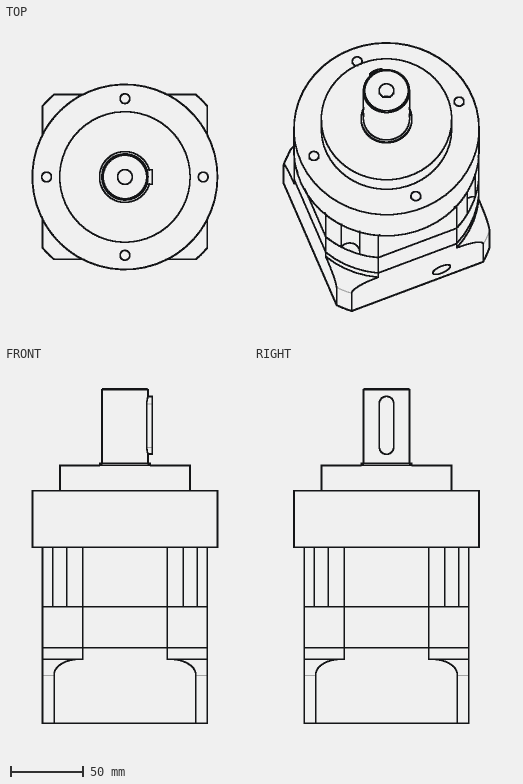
import cadquery as cq
import math

square_width = 113.9
flange_radius = 64.0
body_corner_radius = flange_radius
base_corner_radius = 75.0

shoulder_z = 44.4
adapter_top_z = 52.2
ring_top_z = 80.6
flange_bottom_z = 121.5
flange_top_z = 160.5
pilot_top_z = 178.0
shaft_top_z = 231.0

pilot_radius = 45.0
bolt_circle_radius = 54.0
bolt_hole_diameter = 6.7
bolt_hole_depth = 18.5
bolt_count = 4
drill_point_angle = 118.0

groove_radius = 7.0
corner_count = 4
first_corner_angle = 45.0
groove_circle_radius = 65.0

shaft_radius = 16.0
shaft_chamfer = 1.0
collar_radius = 17.5
collar_height = 1.5
centre_hole_diameter = 10.2
centre_hole_depth = 23.0
key_width = 10.0
key_length = 40.0
key_bottom_z = 185.7
key_outer_x = 19.0

hub_radius = 24.0
hub_bottom_z = 4.6
bore_radius = 34.6
access_hole_radius = 6.5
access_hole_y = -18.0
access_hole_z = 14.5


def cylinder(radius, bottom_z, top_z):
    """Upright cylinder on the main axis."""
    return cq.Workplane("XY").workplane(offset=bottom_z).circle(radius).extrude(top_z - bottom_z)


def square_block(bottom_z, top_z):
    """Square prism on the main axis."""
    return (
        cq.Workplane("XY").workplane(offset=bottom_z)
        .rect(square_width, square_width).extrude(top_z - bottom_z)
    )


def drilled_holes(diameter, depth, top_z, places):
    """Blind holes with conical drill points, going down from top_z."""
    radius = diameter / 2
    point_depth = radius / math.tan(math.radians(drill_point_angle / 2))
    hole = (
        cq.Workplane("XZ")
        .moveTo(0, 0)
        .lineTo(radius, 0)
        .lineTo(radius, -depth)
        .lineTo(0, -depth - point_depth)
        .close()
        .revolve(360, (0, 0, 0), (0, 1, 0))
    )
    holes = cq.Workplane("XY")
    for x, y in places:
        holes = holes.add(hole.translate((x, y, top_z)))
    return holes.combine()


def circle_points(radius, count, first_angle):
    """Evenly spaced points around the main axis."""
    angles = [math.radians(first_angle + index * 360 / count) for index in range(count)]
    return [(radius * math.cos(angle), radius * math.sin(angle)) for angle in angles]


def make_adapter():
    """Square motor adapter whose wide corners round over into the narrower body corners."""
    round_over = base_corner_radius - body_corner_radius
    arc_bottom_z = shoulder_z - round_over
    arc_middle = round_over * math.sqrt(0.5)
    turned = (
        cq.Workplane("XZ")
        .moveTo(0, 0)
        .lineTo(base_corner_radius, 0)
        .lineTo(base_corner_radius, arc_bottom_z)
        .threePointArc(
            (body_corner_radius + arc_middle, arc_bottom_z + arc_middle),
            (body_corner_radius, shoulder_z),
        )
        .lineTo(body_corner_radius, adapter_top_z)
        .lineTo(0, adapter_top_z)
        .close()
        .revolve(360, (0, 0, 0), (0, 1, 0))
    )
    bore = cylinder(bore_radius, 0, adapter_top_z)
    access_hole = (
        cq.Workplane("YZ").center(access_hole_y, access_hole_z)
        .circle(access_hole_radius).extrude(-square_width / 2)
    )
    return square_block(0, adapter_top_z).intersect(turned).cut(bore).cut(access_hole)


def make_ring():
    """Middle ring with the input hub that hangs down inside the adapter bore."""
    ring = square_block(adapter_top_z, ring_top_z)
    ring = ring.intersect(cylinder(body_corner_radius, adapter_top_z, ring_top_z))
    return ring.union(cylinder(hub_radius, hub_bottom_z, adapter_top_z))


def make_gear_case():
    """Square case with a bolt groove along each rounded corner."""
    case = square_block(ring_top_z, flange_bottom_z)
    case = case.intersect(cylinder(body_corner_radius, ring_top_z, flange_bottom_z))
    grooves = (
        cq.Workplane("XY").workplane(offset=ring_top_z)
        .pushPoints(circle_points(groove_circle_radius, corner_count, first_corner_angle))
        .circle(groove_radius).extrude(flange_bottom_z - ring_top_z)
    )
    return case.cut(grooves)


def make_key():
    """Round-ended key shape reaching from the main axis out past the shaft."""
    return (
        cq.Workplane("YZ").center(0, key_bottom_z + key_length / 2)
        .slot2D(key_length, key_width, 90).extrude(key_outer_x)
    )


def make_output():
    """Output flange with its centring pilot, collar and keyed shaft."""
    flange = cylinder(flange_radius, flange_bottom_z, flange_top_z)
    pilot = cylinder(pilot_radius, flange_top_z, pilot_top_z)
    collar = cylinder(collar_radius, pilot_top_z, pilot_top_z + collar_height)
    shaft = cylinder(shaft_radius, pilot_top_z, shaft_top_z)
    shaft = shaft.faces(">Z").chamfer(shaft_chamfer)
    bolt_places = circle_points(bolt_circle_radius, bolt_count, 0)
    bolt_holes = drilled_holes(bolt_hole_diameter, bolt_hole_depth, flange_top_z, bolt_places)
    centre_hole = drilled_holes(centre_hole_diameter, centre_hole_depth, shaft_top_z, [(0, 0)])
    output = flange.union(pilot).union(collar).union(shaft).union(make_key())
    return output.cut(bolt_holes).cut(centre_hole)


adapter = make_adapter()
ring = make_ring()
gear_case = make_gear_case()
output = make_output()

result = cq.Compound.makeCompound([adapter.val(), ring.val(), gear_case.val(), output.val()])